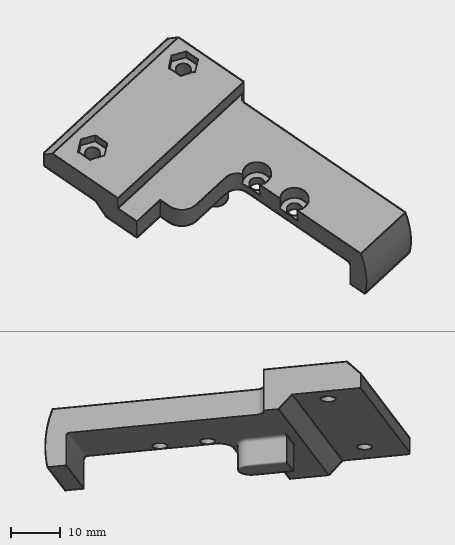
import cadquery as cq
import math

length = 66.4
width = 39.0
height = 15.8

arm_top = 12.4
arm_bottom = 7.0
rail_bottom = 9.8

rail_width = 20.25
rail_chamfer = 2.85
rail_corner_radius = 1.0
slope_start = 14.3
slope_end = slope_start + rail_bottom - arm_bottom

base_end = 25.3
neck_end = 31.6
neck_front = 7.2
neck_outer_radius = 3.9
neck_inner_radius = 3.1
arm_front = 23.2
arm_back = 37.0
arm_back_radius = width - arm_back

hook_inner = 62.0
hook_tip_end = 65.95
hook_top_end = 64.9
hook_bulge_height = 4.4
root_fillet = 0.7

key_start = 19.4
key_end = 30.2
key_front = 18.85
key_width = 5.45
key_bottom = 1.05
key_edge_fillet = 0.3

hole_diameter = 3.1
nut_x = 8.0
nut_rows = (6.45, 34.5)
nut_across_flats = 5.45
nut_depth = 2.0
screw_columns = (35.7, 45.7)
screw_y = 24.95
screw_head_diameter = 5.8
screw_head_depth = 3.4


def make_side_profile():
    """Side section with rail, sloped underside, arm and hook, across the full width."""
    return (
        cq.Workplane("XZ")
        .moveTo(0, rail_bottom)
        .lineTo(slope_start, rail_bottom)
        .lineTo(slope_end, arm_bottom)
        .lineTo(hook_inner - root_fillet, arm_bottom)
        .radiusArc((hook_inner, arm_bottom - root_fillet), root_fillet)
        .lineTo(hook_inner, 0)
        .lineTo(hook_tip_end, 0)
        .threePointArc((length, hook_bulge_height), (hook_top_end, arm_top))
        .lineTo(rail_width, arm_top)
        .lineTo(rail_width, height)
        .lineTo(rail_chamfer, height)
        .lineTo(0, height - rail_chamfer)
        .close()
        .extrude(-width)
    )


def make_plan():
    """Plan outline of the whole part as a full-height prism."""
    return (
        cq.Workplane("XY")
        .moveTo(rail_corner_radius, 0)
        .lineTo(base_end, 0)
        .lineTo(base_end, neck_front)
        .lineTo(neck_end - neck_outer_radius, neck_front)
        .radiusArc((neck_end, neck_front + neck_outer_radius), -neck_outer_radius)
        .lineTo(neck_end, arm_front - neck_inner_radius)
        .radiusArc((neck_end + neck_inner_radius, arm_front), neck_inner_radius)
        .lineTo(length, arm_front)
        .lineTo(length, arm_back)
        .lineTo(rail_width + arm_back_radius, arm_back)
        .radiusArc((rail_width, width), arm_back_radius)
        .lineTo(0, width)
        .lineTo(0, rail_corner_radius)
        .radiusArc((rail_corner_radius, 0), -rail_corner_radius)
        .close()
        .extrude(height)
    )


def key_prism(bottom, margin=0.0):
    """Key outline, square at -X and round at +X, grown by margin except at the square end."""
    end_radius = key_width / 2 + margin
    centre_y = key_front + key_width / 2
    arc_start = key_end - key_width / 2
    return (
        cq.Workplane("XY", origin=(0, centre_y, bottom))
        .moveTo(key_start, -end_radius)
        .lineTo(arc_start, -end_radius)
        .threePointArc((arc_start + end_radius, 0), (arc_start, end_radius))
        .lineTo(key_start, end_radius)
        .close()
        .extrude(arm_bottom - bottom)
    )


def make_key():
    """Key with a rounded lower rim and a flared root that blends into the base."""
    key = key_prism(key_bottom).faces("<Z").edges("not(<X)").fillet(key_edge_fillet)
    flare_bottom = arm_bottom - root_fillet
    flare = key_prism(flare_bottom, root_fillet)
    flare_front = key_front - root_fillet
    flare_back = key_front + key_width + root_fillet
    arc_start = key_end - key_width / 2
    path = (
        cq.Workplane("XY", origin=(0, 0, flare_bottom))
        .moveTo(key_start, flare_front)
        .lineTo(arc_start, flare_front)
        .threePointArc((key_end + root_fillet, key_front + key_width / 2), (arc_start, flare_back))
        .lineTo(key_start, flare_back)
    )
    cutter = (
        cq.Workplane("YZ", origin=(key_start, 0, 0))
        .center(flare_front, flare_bottom)
        .circle(root_fillet)
        .sweep(path)
    )
    return key.union(flare.cut(cutter))


def cut_nut_holes(body):
    """Through holes in the rail with hexagonal nut pockets from above."""
    across_corners = nut_across_flats / math.cos(math.pi / 6)
    centres = [(nut_x, y) for y in nut_rows]
    top_plane = cq.Workplane("XY", origin=(0, 0, height)).pushPoints(centres)
    pockets = top_plane.polygon(6, across_corners).extrude(-nut_depth)
    holes = top_plane.circle(hole_diameter / 2).extrude(-height)
    return body.cut(pockets).cut(holes)


def cut_screw_holes(body):
    """Counterbored holes whose head recesses break through the front of the arm."""
    centres = [(x, screw_y) for x in screw_columns]
    top_plane = cq.Workplane("XY", origin=(0, 0, arm_top)).pushPoints(centres)
    recesses = top_plane.circle(screw_head_diameter / 2).extrude(-screw_head_depth)
    holes = top_plane.circle(hole_diameter / 2).extrude(-arm_top)
    return body.cut(recesses).cut(holes)


body = make_side_profile().intersect(make_plan())
body = body.union(make_key())
body = cut_nut_holes(body)
result = cut_screw_holes(body)